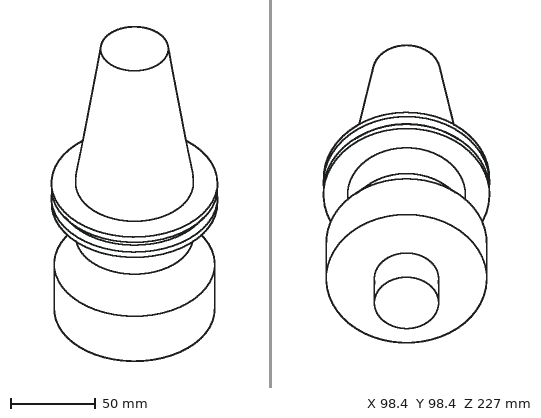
import cadquery as cq
import math


gauge_diameter = 69.85
taper_length = 101.6
taper_ratio = 7 / 24
tip_diameter = gauge_diameter - taper_length * taper_ratio

flange_diameter = 98.425
flange_gap = 3.175
flange_thickness = 15.875
groove_root_diameter = 91.29
groove_floor_width = 2.9
groove_mouth_width = 7.6

neck_diameter = gauge_diameter
body_diameter = 95.25
pilot_diameter = 38.1
shoulder_half_angle = 30
overall_length = 227.0
pilot_length = 23.8
neck_bottom = -44.45

flange_top = -flange_gap
flange_bottom = flange_top - flange_thickness
groove_middle = (flange_top + flange_bottom) / 2
pilot_bottom = taper_length - overall_length
body_bottom = pilot_bottom + pilot_length
shoulder_height = (body_diameter - neck_diameter) / 2 / math.tan(math.radians(shoulder_half_angle))
body_top = neck_bottom - shoulder_height


def cylinder(diameter, bottom, top):
    return cq.Workplane("XY").workplane(offset=bottom).circle(diameter / 2).extrude(top - bottom)


def cone(bottom_diameter, top_diameter, bottom, top):
    solid = cq.Solid.makeCone(
        bottom_diameter / 2, top_diameter / 2, top - bottom, pnt=cq.Vector(0, 0, bottom)
    )
    return cq.Workplane(solid)


def groove_cutter():
    """Ring with a trapezoidal section that opens outward to the flange rim."""
    root_radius = groove_root_diameter / 2
    rim_radius = flange_diameter / 2
    half_floor = groove_floor_width / 2
    half_mouth = groove_mouth_width / 2
    section = [
        (root_radius, groove_middle - half_floor),
        (rim_radius, groove_middle - half_mouth),
        (rim_radius, groove_middle + half_mouth),
        (root_radius, groove_middle + half_floor),
    ]
    return cq.Workplane("XZ").polyline(section).close().revolve(360, (0, 0, 0), (0, 1, 0))


shank = cone(gauge_diameter, tip_diameter, 0, taper_length)
gauge_band = cylinder(gauge_diameter, flange_top, 0)
flange = cylinder(flange_diameter, flange_bottom, flange_top).cut(groove_cutter())
neck = cylinder(neck_diameter, neck_bottom, flange_bottom)
shoulder = cone(body_diameter, neck_diameter, body_top, neck_bottom)
body = cylinder(body_diameter, body_bottom, body_top)
pilot = cylinder(pilot_diameter, pilot_bottom, body_bottom)

result = shank
for section_below in (gauge_band, flange, neck, shoulder, body, pilot):
    result = result.union(section_below)